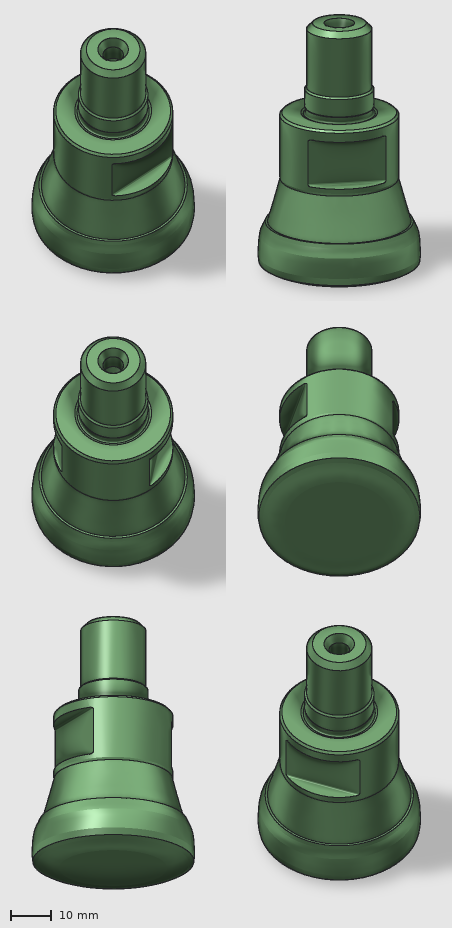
import cadquery as cq
import math

total_height = 63.0

foot_radius = 39.9 / 2
foot_height = 12.0
foot_top_radius = 18.15
foot_lip_radius = 18.35
foot_lip_height = 11.5
foot_upper_radius = 18.6
foot_upper_height = 10.95
foot_shoulder_mid_radius = 19.15
foot_shoulder_mid_height = 9.8
foot_shoulder_radius = 19.5
foot_shoulder_height = 8.6
foot_waist_height = 3.5
foot_bulge_radius = 19.85
foot_rim_radius = 19.7
foot_rim_height = 1.8
foot_bevel_radius = 18.6
foot_bevel_height = 1.2
foot_sole_radius = 13.2

body_radius = 14.6
body_top_height = 39.95
body_chamfer = 0.55
flare_base_radius = 17.6
flare_top_radius = 29.0 / 2
flare_top_height = 23.1
body_bottom_height = 23.7

flat_half_width = 10.9
flat_bottom_height = 24.95
flat_top_height = 37.05
flat_corner_radius = 0.6

undercut_neck_radius = 16.5 / 2
undercut_outer_radius = 9.4
undercut_fillet = 0.45
undercut_floor_radius = 8.8
undercut_depth = 0.2

collar_radius = 17.0 / 2
collar_bottom_height = 41.6
collar_top_height = 46.5
collar_chamfer = 0.45
shank_radius = 16.0 / 2
shank_chamfer = 1.45

hole_radius = 5.0 / 2
countersink_radius = 3.7
countersink_depth = 2.0
hole_depth = 6.3
drill_point_angle = 118.0


def make_foot():
    """Solid of revolution with a bulging side and a rounded sole."""
    bulge_height = (foot_shoulder_height + foot_waist_height) / 2
    return (
        cq.Workplane("XZ")
        .lineTo(foot_sole_radius, 0)
        .tangentArcPoint((foot_bevel_radius, foot_bevel_height), relative=False)
        .lineTo(foot_rim_radius, foot_rim_height)
        .lineTo(foot_radius, foot_waist_height)
        .threePointArc(
            (foot_bulge_radius, bulge_height),
            (foot_shoulder_radius, foot_shoulder_height),
        )
        .threePointArc(
            (foot_shoulder_mid_radius, foot_shoulder_mid_height),
            (foot_upper_radius, foot_upper_height),
        )
        .lineTo(foot_lip_radius, foot_lip_height)
        .lineTo(foot_top_radius, foot_height)
        .lineTo(0, foot_height)
        .close()
        .revolve(360, (0, 0, 0), (0, 1, 0))
    )


def make_turned_stem():
    """Flared body, filleted undercut, collar and shank turned about Z."""
    undercut_floor = body_top_height - undercut_depth
    collar_step = collar_radius - undercut_neck_radius
    return (
        cq.Workplane("XZ")
        .moveTo(0, foot_height)
        .lineTo(flare_base_radius, foot_height)
        .lineTo(flare_top_radius, flare_top_height)
        .lineTo(body_radius, body_bottom_height)
        .lineTo(body_radius, body_top_height - body_chamfer)
        .lineTo(body_radius - body_chamfer, body_top_height)
        .lineTo(undercut_outer_radius, body_top_height)
        .lineTo(undercut_floor_radius, undercut_floor)
        .lineTo(undercut_neck_radius + undercut_fillet, undercut_floor)
        .radiusArc((undercut_neck_radius, undercut_floor + undercut_fillet), undercut_fillet)
        .lineTo(undercut_neck_radius, collar_bottom_height - collar_step)
        .lineTo(collar_radius, collar_bottom_height)
        .lineTo(collar_radius, collar_top_height - collar_chamfer)
        .lineTo(shank_radius, collar_top_height)
        .lineTo(shank_radius, total_height - shank_chamfer)
        .lineTo(shank_radius - shank_chamfer, total_height)
        .lineTo(0, total_height)
        .close()
        .revolve(360, (0, 0, 0), (0, 1, 0))
    )


def make_flat_cutter(side):
    """Block that cuts one wrench flat on the +X (side 1) or -X (side -1) face."""
    depth = 2 * (body_radius - flat_half_width)
    length = 2 * body_radius
    height = flat_top_height - flat_bottom_height
    inner_edges = "<X" if side > 0 else ">X"
    return (
        cq.Workplane("XY")
        .box(depth, length, height)
        .edges("|Y")
        .edges(inner_edges)
        .fillet(flat_corner_radius)
        .translate((side * (flat_half_width + depth / 2), 0, flat_bottom_height + height / 2))
    )


def make_centre_hole():
    """Countersunk blind hole with a drill-point bottom."""
    point_length = hole_radius / math.tan(math.radians(drill_point_angle / 2))
    hole_bottom = total_height - hole_depth
    return (
        cq.Workplane("XZ")
        .moveTo(0, total_height)
        .lineTo(countersink_radius, total_height)
        .lineTo(hole_radius, total_height - countersink_depth)
        .lineTo(hole_radius, hole_bottom)
        .lineTo(0, hole_bottom - point_length)
        .close()
        .revolve(360, (0, 0, 0), (0, 1, 0))
    )


def make_stem():
    """Turned stem with two wrench flats and a centre hole."""
    body = make_turned_stem()
    for side in (-1, 1):
        body = body.cut(make_flat_cutter(side))
    return body.cut(make_centre_hole())


foot = make_foot()
stem = make_stem()

result = cq.Compound.makeCompound([foot.val(), stem.val()])